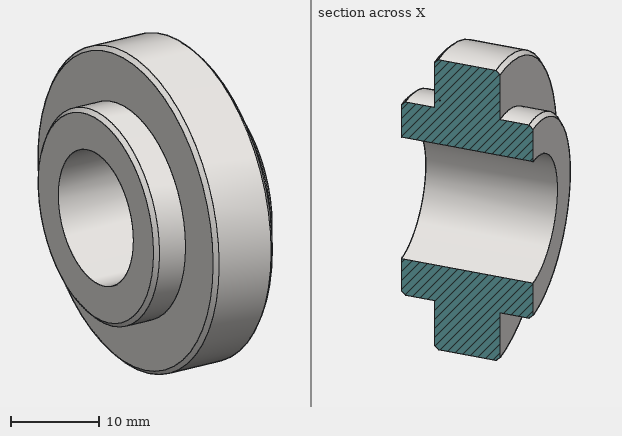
import cadquery as cq

flange_diameter = 38.1
hub_diameter = 25.4
hub_length = 15.9
flange_width = hub_length / 2
bore_diameter = hub_length
edge_chamfer = 0.5


def centred_cylinder(diameter, width):
    """Cylinder centred on the origin with its axis along Y."""
    start_face = cq.Workplane("XZ").workplane(offset=-width / 2)
    return start_face.circle(diameter / 2).extrude(width)


def chamfered_disc(diameter, width):
    """Centred cylinder with both rims chamfered."""
    return centred_cylinder(diameter, width).faces("<Y or >Y").edges().chamfer(edge_chamfer)


flange = chamfered_disc(flange_diameter, flange_width)
hub = chamfered_disc(hub_diameter, hub_length)

bore = centred_cylinder(bore_diameter, hub_length)

result = flange.union(hub).cut(bore)